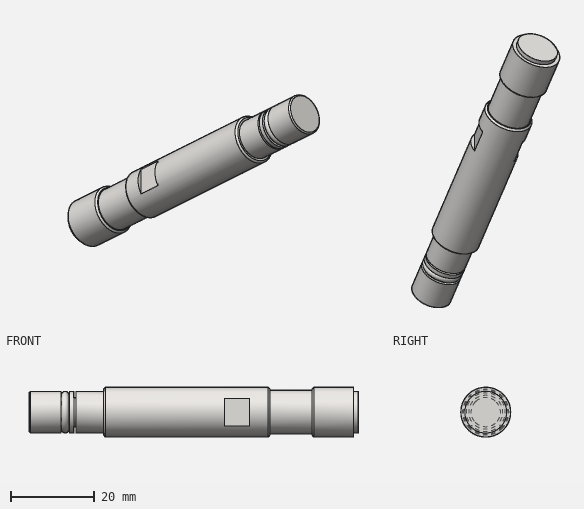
import cadquery as cq

total_length = 78.9
body_diameter = 12.0

journal_diameter = 10.0
nose_chamfer_length = 0.3
nose_face_diameter = 9.3

bead_groove_start = 7.65
bead_groove_width = 2.0
bead_section_diameter = 1.9
bead_outer_diameter = 10.0

ring_groove_start = 10.7
ring_groove_width = 0.5
ring_groove_diameter = 7.0

body_length = 39.9
neck_length = 10.0
neck_diameter = 10.6
head_length = 10.0
shoulder_chamfer = 0.5

spigot_length = 1.1
spigot_diameter = 10.0

flat_width = 6.0
across_flats = 10.0
flat_end_gap = 4.9

head_end = total_length - spigot_length
head_start = head_end - head_length
body_end = head_start - neck_length
body_start = body_end - body_length
bead_floor_diameter = bead_outer_diameter - bead_section_diameter
flat_center = body_end - flat_end_gap - flat_width / 2


def cylinder(start, length, diameter):
    return cq.Workplane("YZ", origin=(start, 0, 0)).circle(diameter / 2).extrude(length)


def make_journal():
    chamfer_depth = (journal_diameter - nose_face_diameter) / 2
    blank = cylinder(0, body_start, journal_diameter)
    return blank.faces("<X").chamfer(nose_chamfer_length, chamfer_depth)


def groove_ring(start, width, floor_diameter):
    outside = cylinder(start, width, body_diameter)
    return outside.cut(cylinder(start, width, floor_diameter))


def make_bead():
    """Half-buried bead: a circular section revolved about the axis, centered on the groove floor."""
    center_x = bead_groove_start + bead_groove_width / 2
    section = cq.Workplane("XY").moveTo(center_x, bead_floor_diameter / 2).circle(bead_section_diameter / 2)
    return section.revolve(360, (0, 0, 0), (1, 0, 0))


def make_body():
    return cylinder(body_start, body_length, body_diameter).edges("%CIRCLE").chamfer(shoulder_chamfer)


def make_head():
    return cylinder(head_start, head_length, body_diameter).faces("<X").chamfer(shoulder_chamfer)


def wrench_flat(side):
    cutter = cq.Workplane("XY").box(flat_width, body_diameter, body_diameter)
    return cutter.translate((flat_center, side * (across_flats + body_diameter) / 2, 0))


result = make_journal()
result = result.cut(groove_ring(ring_groove_start, ring_groove_width, ring_groove_diameter))
result = result.cut(groove_ring(bead_groove_start, bead_groove_width, bead_floor_diameter))
result = result.union(make_bead())
result = result.union(make_body())
result = result.union(cylinder(body_end, neck_length, neck_diameter))
result = result.union(make_head())
result = result.union(cylinder(head_end, spigot_length, spigot_diameter))
for side in (-1, 1):
    result = result.cut(wrench_flat(side))